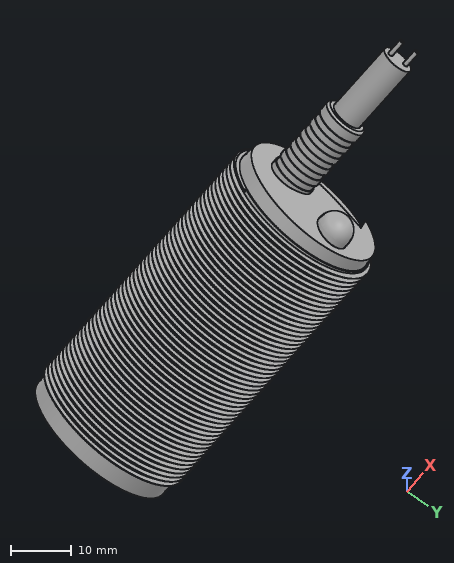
import cadquery as cq
import math

TOTAL_LENGTH = 89.0

SENSING_FACE_X = 0.0
BARREL_END_X = 54.0
BARREL_RADIUS = 13.9
THREAD_RADIUS = 14.7
FIRST_CREST_X = 2.9
LAST_CREST_X = 53.9
THREAD_TURNS = 51.6
THREAD_ROOT_WIDTH = 0.9
THREAD_CREST_WIDTH = 0.1
THREAD_ROOT_OVERLAP = 0.1
THREAD_START_ANGLE = 83.0

CAP_RIM_X = 56.5
CAP_END_X = 57.9
CAP_BASE_RADIUS = 13.6
CAP_RIM_RADIUS = 13.35
CONE_AXIS_Y = -2.0
CONE_SLOPE = 0.16
CONE_TOP_RADIUS = 4.3

NOTCH_START_X = 54.9
NOTCH_ANGLE = 15.0
NOTCH_FLOOR = 4.45
NOTCH_CABLE_SIDE = -6.3
NOTCH_LAMP_SIDE = 9.1

LAMP_Y = 3.5
LAMP_Z = -8.0
LAMP_RADIUS = 3.2
LAMP_TIP_X = 61.0

CABLE_Y = -5.5
BOOT_RADIUS = 4.0
BOOT_END_X = 72.45
BOOT_CHAMFER = 0.45
GROOVE_COUNT = 5
GROOVE_PITCH = 2.6
GROOVE_WIDTH = 1.25
GROOVE_DEPTH = 0.2
FIRST_GROOVE_X = 59.2

CABLE_RADIUS = 2.85
CABLE_END_X = 85.9
WIRE_RADIUS = 0.45
WIRE_SPACING = 3.1


def rod(radius, start_x, end_x, y=0.0, z=0.0):
    """Cylinder parallel to X."""
    return cq.Workplane("YZ", origin=(start_x, y, z)).circle(radius).extrude(end_x - start_x)


def make_thread():
    """Right-handed helical ridge, swept along Z and then laid along X."""
    inner_radius = BARREL_RADIUS - THREAD_ROOT_OVERLAP
    swept_length = LAST_CREST_X - FIRST_CREST_X
    helix = cq.Wire.makeHelix(swept_length / THREAD_TURNS, swept_length, inner_radius)
    return (
        cq.Workplane("XZ")
        .polyline([
            (inner_radius, -THREAD_ROOT_WIDTH / 2),
            (THREAD_RADIUS, -THREAD_CREST_WIDTH / 2),
            (THREAD_RADIUS, THREAD_CREST_WIDTH / 2),
            (inner_radius, THREAD_ROOT_WIDTH / 2),
        ])
        .close()
        .sweep(cq.Workplane(helix), isFrenet=True)
        .rotate((0, 0, 0), (0, 0, 1), THREAD_START_ANGLE)
        .rotate((0, 0, 0), (0, 1, 0), 90)
        .translate((FIRST_CREST_X, 0, 0))
    )


def make_barrel():
    """Threaded barrel; the thread runs past its end and is trimmed flush."""
    overlong_barrel = rod(BARREL_RADIUS, SENSING_FACE_X, BARREL_END_X + THREAD_ROOT_WIDTH)
    threaded = overlong_barrel.union(make_thread(), clean=False)
    return threaded.intersect(rod(2 * THREAD_RADIUS, SENSING_FACE_X, BARREL_END_X), clean=False)


def make_cap():
    taper_angle = math.degrees(math.atan2(CAP_BASE_RADIUS - CAP_RIM_RADIUS, CAP_RIM_X - BARREL_END_X))
    rim = (
        cq.Workplane("YZ", origin=(BARREL_END_X, 0, 0))
        .circle(CAP_BASE_RADIUS)
        .extrude(CAP_END_X - BARREL_END_X, taper=taper_angle)
    )
    cone_radius = 1.5 * CAP_BASE_RADIUS
    cone_edge_x = CAP_END_X - CONE_SLOPE * (cone_radius - CONE_TOP_RADIUS)
    cone = (
        cq.Workplane("XY")
        .polyline([
            (0, 0),
            (0, cone_radius),
            (cone_edge_x, cone_radius),
            (CAP_END_X, CONE_TOP_RADIUS),
            (CAP_END_X, 0),
        ])
        .close()
        .revolve(360, (0, 0, 0), (1, 0, 0))
        .translate((0, CONE_AXIS_Y, 0))
    )
    return rim.intersect(cone)


def make_notch():
    length = CAP_END_X - NOTCH_START_X
    width = NOTCH_LAMP_SIDE - NOTCH_CABLE_SIDE
    height = 2 * CAP_BASE_RADIUS
    return (
        cq.Workplane("XY")
        .box(length, width, height, centered=False)
        .translate((NOTCH_START_X, NOTCH_CABLE_SIDE, NOTCH_FLOOR))
        .rotate((0, 0, 0), (1, 0, 0), -NOTCH_ANGLE)
    )


def make_lamp():
    dome_x = LAMP_TIP_X - LAMP_RADIUS
    base = rod(LAMP_RADIUS, BARREL_END_X, dome_x, LAMP_Y, LAMP_Z)
    dome = cq.Workplane("XY").sphere(LAMP_RADIUS).translate((dome_x, LAMP_Y, LAMP_Z))
    return base.union(dome)


def make_boot():
    boot = rod(BOOT_RADIUS, BARREL_END_X, BOOT_END_X, CABLE_Y).faces(">X").chamfer(BOOT_CHAMFER)
    for i in range(GROOVE_COUNT):
        start_x = FIRST_GROOVE_X + i * GROOVE_PITCH - GROOVE_WIDTH / 2
        end_x = start_x + GROOVE_WIDTH
        core = rod(BOOT_RADIUS - GROOVE_DEPTH, start_x, end_x, CABLE_Y)
        boot = boot.cut(rod(2 * BOOT_RADIUS, start_x, end_x, CABLE_Y).cut(core))
    return boot


result = make_barrel()
result = result.union(make_cap().cut(make_notch()))
result = result.union(make_lamp()).union(make_boot())
result = result.union(rod(CABLE_RADIUS, BARREL_END_X, CABLE_END_X, CABLE_Y))
for side in (-1, 1):
    wire_y = CABLE_Y + side * WIRE_SPACING / 2
    result = result.union(rod(WIRE_RADIUS, BOOT_END_X, TOTAL_LENGTH, wire_y))